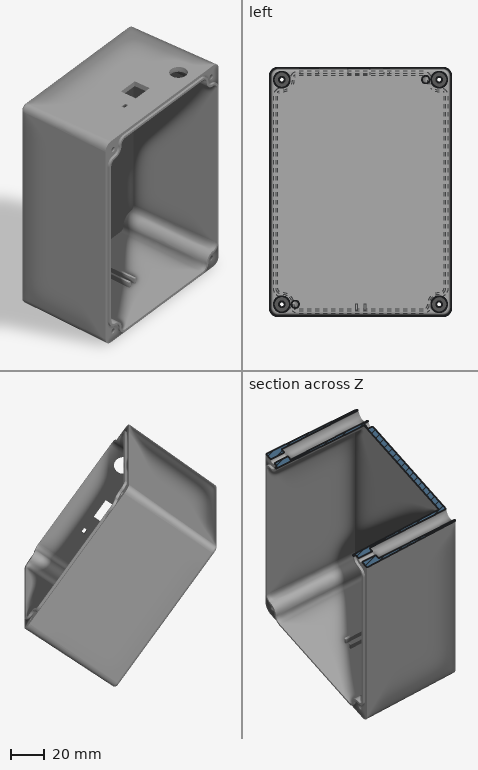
import cadquery as cq
import math

width = 108.0
height = 148.0
total_depth = 66.5
lip_depth = 1.5
body_depth = total_depth - lip_depth
corner_radius = 5.0
front_edge_radius = 1.5
draft_angle = 1.0

wall = 3.5
floor = 4.0
lip_inset = 2.0

screw_inset = 7.2
screw_hole_diameter = 3.3
screw_recess_diameter = 9.5
screw_recess_depth = 55.0
lip_screw_radius = 4.6
screw_y = width / 2 - screw_inset
screw_z = height / 2 - screw_inset

side_hole_diameter = 4.5
side_hole_depth = 3.2
side_hole_offset = 8.0

round_hole_diameter = 11.1
round_hole_center = (53.0, 30.7)
window_center = (43.7, 1.1)
window_size = (11.4, 13.2)
small_window_center = (48.9, -15.4)
small_window_size = (2.25, 3.4)
opening_depth = 10.0

rib_thickness = 1.4
rib_spacing = 5.1
rib_end_x = 42.6
rib_height = 3.0


def section(x):
    """Workplane across the depth at the given X, with local axes along Y and Z."""
    return cq.Workplane("YZ", origin=(x, 0, 0))


def stepped_outline(workplane, inset):
    """Draw a rectangle inset from the rim, its corners curving inward around the screws."""
    screw_radius = lip_screw_radius + inset - lip_inset
    shoulder_radius = screw_inset - inset
    diagonal = math.sqrt(0.5)
    screw_edge = screw_inset + screw_radius
    screw_middle = screw_inset + screw_radius * diagonal
    shoulder_end = screw_edge + shoulder_radius
    shoulder_across = screw_inset - shoulder_radius * diagonal
    shoulder_along = shoulder_end - shoulder_radius * diagonal

    corner = [
        (inset, shoulder_end),
        (shoulder_across, shoulder_along),
        (screw_inset, screw_edge),
        (screw_middle, screw_middle),
        (screw_edge, screw_inset),
        (shoulder_along, shoulder_across),
        (shoulder_end, inset),
    ]

    outline = workplane
    for index, (side_y, side_z) in enumerate([(1, 1), (-1, 1), (-1, -1), (1, -1)]):
        points = [(side_y * (width / 2 - y), side_z * (height / 2 - z)) for y, z in corner]
        if side_y != side_z:
            points.reverse()
        outline = outline.moveTo(*points[0]) if index == 0 else outline.lineTo(*points[0])
        for middle, end in zip(points[1::2], points[2::2]):
            outline = outline.threePointArc(middle, end)
    return outline.close()


def make_body():
    """Solid block drafted towards the front, with rounded edges."""
    rim = cq.Sketch().rect(width, height).vertices().fillet(corner_radius)
    block = section(body_depth).placeSketch(rim).extrude(-body_depth, taper=draft_angle)
    return block.faces("<X").edges().fillet(front_edge_radius)


def make_lip():
    return stepped_outline(section(body_depth), lip_inset).extrude(lip_depth)


def make_cavity():
    """Inside space, drafted like the outside and leaving bosses around the screws."""
    drafted = stepped_outline(section(body_depth), wall).extrude(floor - body_depth, taper=draft_angle)
    straight = stepped_outline(section(body_depth), wall).extrude(lip_depth)
    return drafted.union(straight)


def make_ribs():
    """Ribs running from the floor along the -Z wall, level on top."""
    draft_rise = (body_depth - floor) * math.tan(math.radians(draft_angle))
    bottom_z = -height / 2 + draft_rise + wall / 2
    top_z = -height / 2 + draft_rise + wall + rib_height
    rib_start_x = floor / 2
    return (
        cq.Workplane("XY", origin=(0, 0, bottom_z))
        .pushPoints([((rib_start_x + rib_end_x) / 2, side * rib_spacing / 2) for side in (-1, 1)])
        .rect(rib_end_x - rib_start_x, rib_thickness)
        .extrude(top_z - bottom_z)
    )


def make_screw_holes():
    """Through holes with wide recesses sunk from the front."""
    centers = [(y, z) for y in (-screw_y, screw_y) for z in (-screw_z, screw_z)]
    holes = section(0).pushPoints(centers).circle(screw_hole_diameter / 2).extrude(total_depth)
    recesses = section(0).pushPoints(centers).circle(screw_recess_diameter / 2).extrude(screw_recess_depth)
    return holes.union(recesses)


def make_side_holes():
    hole_y = screw_y - side_hole_offset
    centers = [(-hole_y, screw_z), (hole_y, -screw_z)]
    return section(0).pushPoints(centers).circle(side_hole_diameter / 2).extrude(side_hole_depth)


def make_top_openings():
    """Round hole and two rectangular windows through the +Z wall."""
    top = cq.Workplane("XY", origin=(0, 0, height / 2))
    round_hole = top.center(*round_hole_center).circle(round_hole_diameter / 2).extrude(-opening_depth)
    window = top.center(*window_center).rect(*window_size).extrude(-opening_depth)
    small_window = top.center(*small_window_center).rect(*small_window_size).extrude(-opening_depth)
    return round_hole.union(window).union(small_window)


result = (
    make_body()
    .union(make_lip())
    .cut(make_cavity())
    .union(make_ribs())
    .cut(make_screw_holes())
    .cut(make_side_holes())
    .cut(make_top_openings())
)